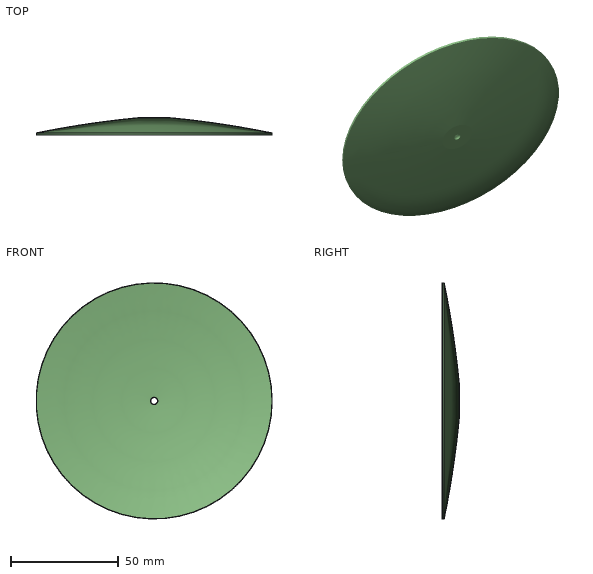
import cadquery as cq
import math

disc_diameter = 110.0
total_depth = 8.1
rim_thickness = 1.0
inner_radius = 300.0
flank_radius = 450.0
crown_diameter = 15.0
hole_diameter = 3.2

disc_radius = disc_diameter / 2
crown_radius = crown_diameter / 2
inner_depth = inner_radius - math.sqrt(inner_radius**2 - disc_radius**2)


def bulging_arc_middle(start, end, radius):
    """Middle point of the arc from start to end that bulges toward +X and +Y."""
    run = abs(end[0] - start[0])
    drop = abs(end[1] - start[1])
    chord = math.hypot(run, drop)
    bulge = radius - math.sqrt(radius**2 - (chord / 2) ** 2)
    return (
        (start[0] + end[0]) / 2 + bulge * drop / chord,
        (start[1] + end[1]) / 2 + bulge * run / chord,
    )


def dish_body():
    """Half section in the XY plane turned about the Y axis."""
    inner_pole = (0, inner_depth)
    rim_front = (disc_radius, 0)
    rim_back = (disc_radius, rim_thickness)
    crown_edge = (crown_radius, total_depth)
    inner_middle = bulging_arc_middle(inner_pole, rim_front, inner_radius)
    flank_middle = bulging_arc_middle(rim_back, crown_edge, flank_radius)
    return (
        cq.Workplane("XY")
        .moveTo(*inner_pole)
        .threePointArc(inner_middle, rim_front)
        .lineTo(*rim_back)
        .threePointArc(flank_middle, crown_edge)
        .lineTo(0, total_depth)
        .close()
        .revolve(360, (0, 0, 0), (0, 1, 0))
    )


def center_hole():
    """Cutter along the Y axis from the rim plane to the crown."""
    return cq.Workplane("XZ").circle(hole_diameter / 2).extrude(-total_depth)


result = dish_body().cut(center_hole())